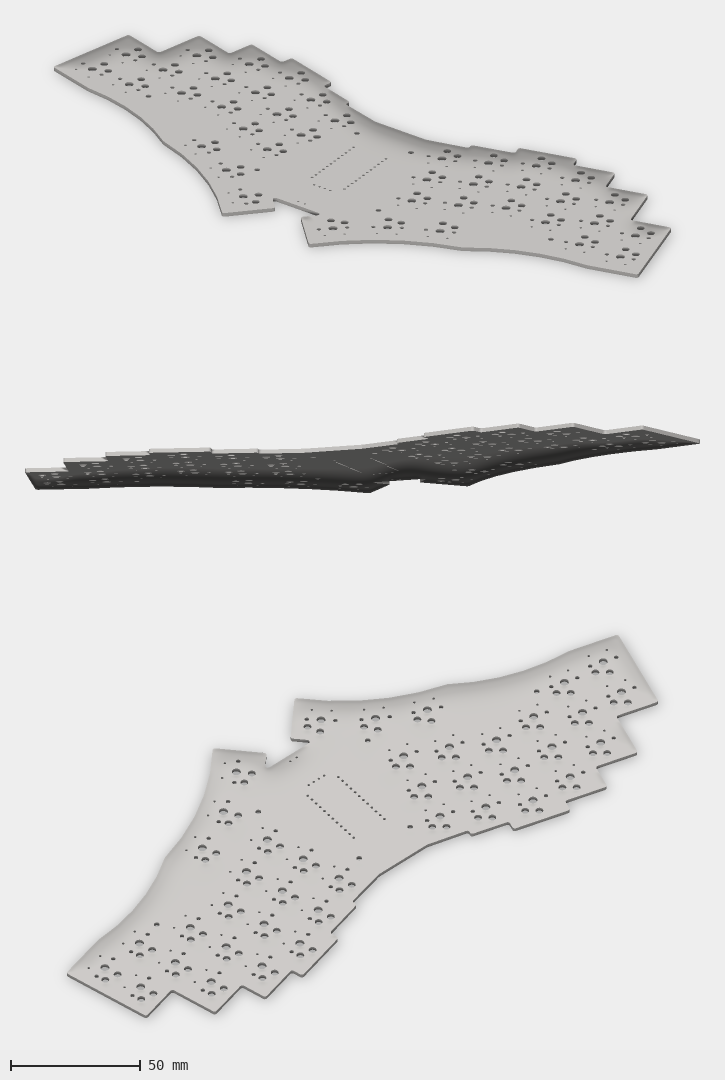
import cadquery as cq
import math

THICKNESS = 1.6
CORNER_RADIUS = 1.0

HAND_ANGLE = 15.0
KEY_PITCH_X = 18.0
KEY_PITCH_Y = 17.0
OUTER_COLUMN_X = -121.085
COLUMNS = [
    (-27.65, 2),
    (-24.2, 3),
    (-13.0, 3),
    (-7.95, 3),
    (-12.2, 3),
    (-15.2, 3),
]
THUMB_KEYS = [
    (-56.05, -19.2, -24.2),
    (-37.9, -28.5, -31.5),
    (-21.1, -41.15, -42.7),
]

STEM_DIAMETER = 3.43
PEG_DIAMETER = 1.7
PEG_OFFSET = 5.5
SOCKET_DIAMETER = 3.0
SOCKET_HOLES = [(0.0, 6.0), (5.0, 3.8)]
DIODE_DIAMETER = 0.99
DIODE_OFFSET_X = 3.81
DIODE_OFFSET_Y = -4.96

PIN_PITCH = 2.54
CONTROLLER_DIAMETER = 1.09
CONTROLLER_ROWS = 2
CONTROLLER_PINS = 12
CONTROLLER_ROW_SPACING = 15.24
CONTROLLER_BOTTOM_Y = -14.2
HEADER_DIAMETER = 1.0
HEADER_PINS = 4
HEADER_Y = -18.25
BUTTON_DIAMETER = 0.9
BUTTON_PINS = 2
BUTTON_SPACING = 3.2
BUTTON_Y = -32.15

MOUNT_DIAMETER = 2.2
OUTER_MOUNT = (94.6, 0.2)
UPPER_MOUNT = (12.7, 23.2)
LEFT_THUMB_MOUNT = (-28.3, -21.5)
RIGHT_THUMB_MOUNT = (27.6, -19.9)

EDGE_MARGIN = 2.0
LEFT_RISER_SHIFTS = [0.0, 0.0, 0.0, 0.0, 2.0, 0.0]
RIGHT_RISER_SHIFTS = [0.0, -1.0, -1.4, -2.0, 0.0, 0.0]
SHOULDER_HEIGHT = 29.9
BRIDGE_CORNER = (-11.9, 34.4)

LOWER_EDGE_BEND = (-117.3, -8.0)
CUSP = (-70.35, -24.5)
THUMB_TIP = (-20.4, -56.4)
THUMB_CORNER = (-5.95, -41.2)
NOTCH_CORNER = (-12.1, -34.85)
PALM_SAGITTA = 3.65
THUMB_SAGITTA = 4.5


def turned(point, angle):
    cosine = math.cos(math.radians(angle))
    sine = math.sin(math.radians(angle))
    return (point[0] * cosine - point[1] * sine, point[0] * sine + point[1] * cosine)


def mirrored(point):
    return (-point[0], point[1])


def column_x(column):
    return OUTER_COLUMN_X + column * KEY_PITCH_X


def centred_row(count, pitch):
    return [(i - (count - 1) / 2) * pitch for i in range(count)]


def upper_edge(riser_shifts):
    """Corners of the stepped edge of a left hand, from its lower outer corner inwards."""
    reach_x = KEY_PITCH_X / 2 + EDGE_MARGIN
    reach_y = KEY_PITCH_Y / 2 + EDGE_MARGIN
    tops = [bottom + (count - 1) * KEY_PITCH_Y + reach_y for bottom, count in COLUMNS]
    tops[-1] = SHOULDER_HEIGHT

    level = COLUMNS[0][0] - reach_y
    corners = []
    for column, (top, shift) in enumerate(zip(tops, riser_shifts)):
        if top > level:
            riser = column_x(column) - reach_x + shift
        else:
            riser = column_x(column - 1) + reach_x + shift
        corners.append((riser, level))
        corners.append((riser, top))
        level = top
    return [turned(corner, -HAND_ANGLE) for corner in corners] + [BRIDGE_CORNER]


def plate_outline():
    left = upper_edge(LEFT_RISER_SHIFTS)
    right = [mirrored(point) for point in upper_edge(RIGHT_RISER_SHIFTS)]

    outline = cq.Workplane("XY").moveTo(*left[0])
    for point in left[1:] + right[::-1]:
        outline = outline.lineTo(*point)

    outline = outline.lineTo(*mirrored(LOWER_EDGE_BEND))
    outline = outline.sagittaArc(mirrored(CUSP), -PALM_SAGITTA)
    outline = outline.sagittaArc(mirrored(THUMB_TIP), -THUMB_SAGITTA)
    outline = outline.lineTo(*mirrored(THUMB_CORNER)).lineTo(*mirrored(NOTCH_CORNER))
    outline = outline.lineTo(*NOTCH_CORNER).lineTo(*THUMB_CORNER).lineTo(*THUMB_TIP)
    outline = outline.sagittaArc(CUSP, -THUMB_SAGITTA)
    outline = outline.sagittaArc(LOWER_EDGE_BEND, -PALM_SAGITTA)
    return outline.close()


def blank_plate():
    return plate_outline().extrude(THICKNESS).edges("|Z").fillet(CORNER_RADIUS)


def key_places():
    """(x, y, turn) of every key of both hands."""
    keys = list(THUMB_KEYS)
    for column, (bottom, count) in enumerate(COLUMNS):
        for row in range(count):
            x, y = turned((column_x(column), bottom + row * KEY_PITCH_Y), -HAND_ANGLE)
            keys.append((x, y, -HAND_ANGLE))
    return keys + [(-x, y, -angle) for x, y, angle in keys]


def at_each_key(offsets):
    """Plate positions of holes given relative to a key centre; the right hand is not mirrored."""
    points = []
    for x, y, angle in key_places():
        for offset in offsets:
            dx, dy = turned(offset, angle)
            points.append((x + dx, y + dy))
    return points


def key_holes():
    pegs = [(-PEG_OFFSET, 0.0), (PEG_OFFSET, 0.0)]
    diodes = [(-DIODE_OFFSET_X, DIODE_OFFSET_Y), (DIODE_OFFSET_X, DIODE_OFFSET_Y)]
    return [
        (STEM_DIAMETER, at_each_key([(0.0, 0.0)])),
        (PEG_DIAMETER, at_each_key(pegs)),
        (SOCKET_DIAMETER, at_each_key(SOCKET_HOLES)),
        (DIODE_DIAMETER, at_each_key(diodes)),
    ]


def pin_holes():
    controller = []
    for x in centred_row(CONTROLLER_ROWS, CONTROLLER_ROW_SPACING):
        for pin in range(CONTROLLER_PINS):
            controller.append((x, CONTROLLER_BOTTOM_Y + pin * PIN_PITCH))
    header = [(x, HEADER_Y) for x in centred_row(HEADER_PINS, PIN_PITCH)]
    button = [(x, BUTTON_Y) for x in centred_row(BUTTON_PINS, BUTTON_SPACING)]
    return [
        (CONTROLLER_DIAMETER, controller),
        (HEADER_DIAMETER, header),
        (BUTTON_DIAMETER, button),
    ]


def mount_holes():
    pairs = [OUTER_MOUNT, mirrored(OUTER_MOUNT), UPPER_MOUNT, mirrored(UPPER_MOUNT)]
    return [(MOUNT_DIAMETER, pairs + [LEFT_THUMB_MOUNT, RIGHT_THUMB_MOUNT])]


def all_holes():
    """(diameter, centres) of every group of holes."""
    return key_holes() + pin_holes() + mount_holes()


def build_plate():
    drills = cq.Workplane("XY")
    for diameter, centres in all_holes():
        drills = drills.pushPoints(centres).circle(diameter / 2)
    return blank_plate().cut(drills.extrude(THICKNESS))


result = build_plate()